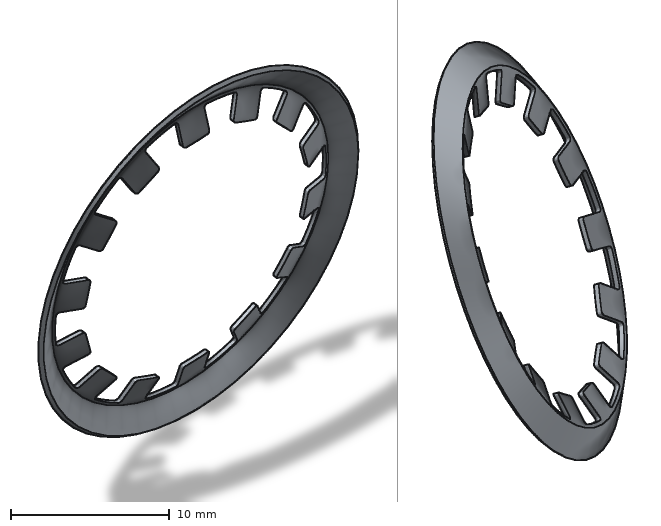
import cadquery as cq
import math

overall_depth = 1.37
outer_radius = 13.66
bend_radius = 11.83
rim_edge_depth = 0.25
rim_edge_drop = 0.25
sheet_thickness = 0.33

tab_count = 14
tab_width = 2.25
tab_tip_radius = 9.5
tab_rise = 0.65
notch_floor_radius = 11.55
corner_fillet = 0.22

flange_rise = overall_depth - rim_edge_depth
flange_angle = math.atan2(flange_rise, outer_radius - bend_radius)
tab_angle = math.atan2(tab_rise, bend_radius - tab_tip_radius)
tab_pitch = 360.0 / tab_count


def make_dished_ring():
    """V-section sheet ring, with the inner leg still running all the way round."""
    miter_length = sheet_thickness / math.cos((flange_angle + tab_angle) / 2)
    miter_angle = (flange_angle - tab_angle) / 2
    back_bend_x = miter_length * math.cos(miter_angle)
    back_bend_radius = bend_radius - miter_length * math.sin(miter_angle)
    back_tip_x = back_bend_x + (back_bend_radius - tab_tip_radius) * math.tan(tab_angle)

    section = cq.Workplane("XY").polyline([
        (0, bend_radius),
        (flange_rise, outer_radius),
        (overall_depth, outer_radius - rim_edge_drop),
        (back_bend_x, back_bend_radius),
        (back_tip_x, tab_tip_radius),
        (tab_rise, tab_tip_radius),
    ]).close()
    return section.revolve(360, (0, 0, 0), (1, 0, 0))


def on_pitch(across, outward, index):
    """Turn a (Y, Z) point of the upright tab onto the tab with the given index."""
    angle = math.radians(index * tab_pitch)
    return (
        across * math.cos(angle) - outward * math.sin(angle),
        across * math.sin(angle) + outward * math.cos(angle),
    )


def make_bore():
    """Axial prism of the toothed opening: the centre hole and the notches between tabs."""
    half_width = tab_width / 2
    root_height = math.sqrt(notch_floor_radius**2 - half_width**2)
    outline = (
        cq.Workplane("YZ")
        .workplane(offset=-overall_depth)
        .moveTo(half_width, root_height)
    )
    for i in range(tab_count):
        outline = (
            outline
            .lineTo(*on_pitch(half_width, tab_tip_radius, i))
            .lineTo(*on_pitch(-half_width, tab_tip_radius, i))
            .lineTo(*on_pitch(-half_width, root_height, i))
            .threePointArc(
                on_pitch(0, notch_floor_radius, i + 0.5),
                on_pitch(half_width, root_height, i + 1),
            )
        )
    bore = outline.close().extrude(3 * overall_depth)
    return bore.edges("|X").fillet(corner_fillet)


result = make_dished_ring().cut(make_bore())